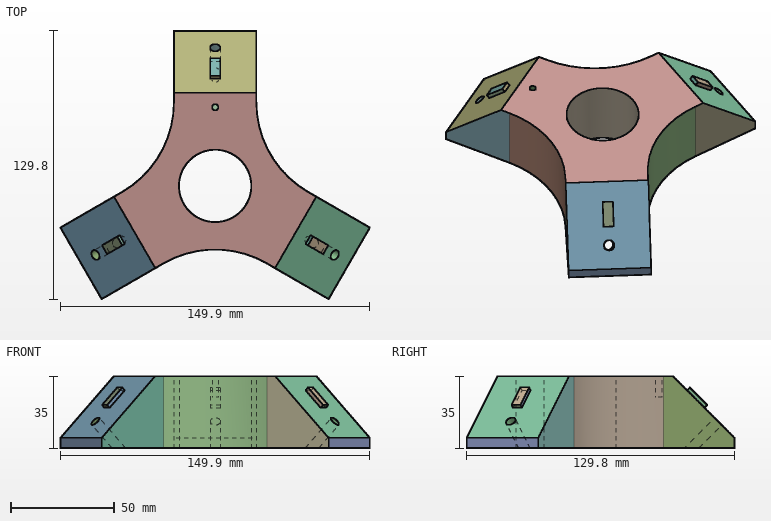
import cadquery as cq
import math

overall_width = 149.9
arm_width = 40.0
height = 35.0
tip_height = 5.0
arm_count = 3
arm_angle = 360 / arm_count
arm_length = (overall_width / 2 - arm_width / 2 * math.sin(math.radians(30))) / math.cos(math.radians(30))
slope_angle = 45.0
slope_run = (height - tip_height) / math.tan(math.radians(slope_angle))
slope_start = arm_length - slope_run
web_radius = 50.0
bore_diameter = 35.0

slope_hole_diameter = 5.0
slope_hole_offset = -9.7
key_width = 5.0
key_length = 12.0
key_height = 2.0
key_offset = 5.4

pin_hole_diameter = 3.0
pin_hole_depth = 10.0
pin_hole_radius = 38.0


def around_arms(shape):
    """Repeat a shape made for the +Y arm on every arm."""
    copies = cq.Workplane("XY")
    for index in range(arm_count):
        copies = copies.add(shape.rotate((0, 0, 0), (0, 0, 1), index * arm_angle))
    return copies.combine()


def make_arm():
    """Straight arm along +Y with a sloped outer end."""
    return (
        cq.Workplane("YZ")
        .polyline([
            (0, 0),
            (arm_length, 0),
            (arm_length, tip_height),
            (slope_start, height),
            (0, height),
        ])
        .close()
        .extrude(arm_width / 2, both=True)
    )


def make_web():
    """Concave fill between two arms, tangent to both, on the -Y side."""
    half_angle = math.radians(arm_angle / 2)
    arc_center = -(arm_width / 2 + web_radius) / math.sin(half_angle)
    tangent_x = web_radius * math.cos(half_angle)
    tangent_y = arc_center + web_radius * math.sin(half_angle)
    return (
        cq.Workplane("XY")
        .moveTo(0, 0)
        .lineTo(-tangent_x, tangent_y)
        .threePointArc((0, arc_center + web_radius), (tangent_x, tangent_y))
        .close()
        .extrude(height)
    )


def slope_plane():
    """Plane on the +Y arm's slope: local X across the arm, local Y uphill."""
    slope_middle = (0, arm_length - slope_run / 2, (height + tip_height) / 2)
    angle = math.radians(slope_angle)
    return cq.Plane(
        origin=slope_middle,
        xDir=(-1, 0, 0),
        normal=(0, math.sin(angle), math.cos(angle)),
    )


def make_key():
    return (
        cq.Workplane(slope_plane())
        .center(0, key_offset)
        .rect(key_width, key_length)
        .extrude(key_height)
    )


def make_slope_hole():
    """Hole square to the slope, long enough to leave through the bottom."""
    return (
        cq.Workplane(slope_plane())
        .center(0, slope_hole_offset)
        .circle(slope_hole_diameter / 2)
        .extrude(-height)
    )


body = around_arms(make_arm()).union(around_arms(make_web()))
body = body.cut(cq.Workplane("XY").circle(bore_diameter / 2).extrude(height))
body = body.union(around_arms(make_key()))
body = body.cut(around_arms(make_slope_hole()))

pin_hole = (
    cq.Workplane("XY", origin=(0, pin_hole_radius, height))
    .circle(pin_hole_diameter / 2)
    .extrude(-pin_hole_depth)
)
result = body.cut(pin_hole).clean()